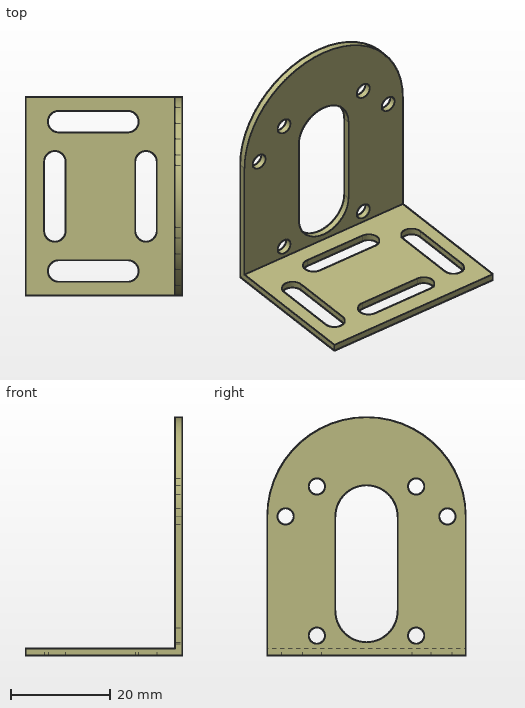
import cadquery as cq

depth = 31.5
width = 40.0
height = 48.0
thickness = 1.5

top_radius = width / 2
arc_center_z = height - top_radius
window_width = 12.5
window_bottom_z = 2.75
window_top_z = arc_center_z + window_width / 2
hole_diameter = 3.2
inner_hole_y = 10.0
outer_hole_y = 16.25
lower_hole_z = 4.05
upper_hole_z = 34.05

slot_length = 18.2
slot_width = 4.25
x_slot_center_x = 13.6
x_slot_offset_y = 15.0
y_slot_centers_x = (5.85, 24.2)


def make_base():
    """Flat plate lying on Z = 0, with its free edge at X = 0."""
    base = cq.Workplane("XY").box(depth, width, thickness, centered=(False, True, False))
    x_slots = [(x_slot_center_x, side * x_slot_offset_y) for side in (-1, 1)]
    y_slots = [(x, 0) for x in y_slot_centers_x]
    for centers, angle in ((x_slots, 0), (y_slots, 90)):
        cutter = (
            cq.Workplane("XY")
            .pushPoints(centers)
            .slot2D(slot_length, slot_width, angle)
            .extrude(thickness)
        )
        base = base.cut(cutter)
    return base


def make_upright():
    """Round-topped plate whose outer face is at X = depth."""
    plane = cq.Workplane("YZ", origin=(depth - thickness, 0, 0))
    plate = (
        plane.moveTo(-width / 2, 0)
        .lineTo(width / 2, 0)
        .lineTo(width / 2, arc_center_z)
        .threePointArc((0, height), (-width / 2, arc_center_z))
        .close()
        .extrude(thickness)
    )
    window = (
        plane.center(0, (window_bottom_z + window_top_z) / 2)
        .slot2D(window_top_z - window_bottom_z, window_width, 90)
        .extrude(thickness)
    )
    hole_rows = (
        (inner_hole_y, lower_hole_z),
        (outer_hole_y, arc_center_z),
        (inner_hole_y, upper_hole_z),
    )
    hole_centers = [(side * y, z) for y, z in hole_rows for side in (-1, 1)]
    holes = plane.pushPoints(hole_centers).circle(hole_diameter / 2).extrude(thickness)
    return plate.cut(window).cut(holes)


result = make_base().union(make_upright())